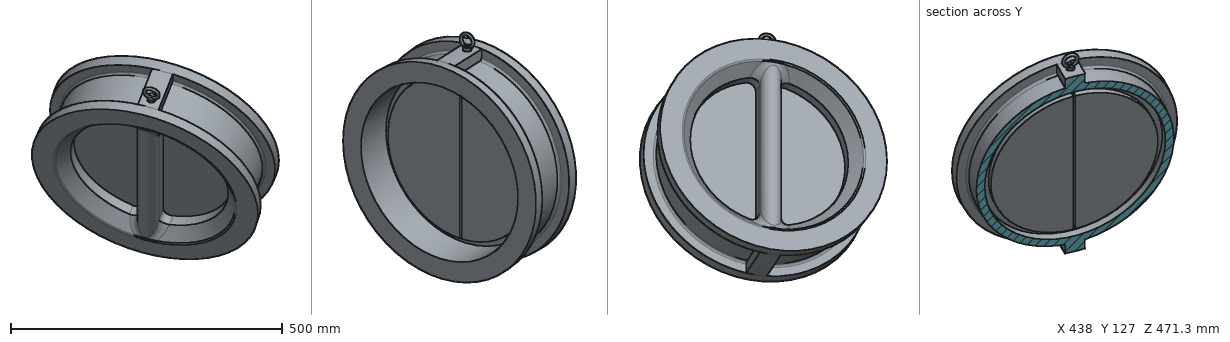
import cadquery as cq
import math


FACE_DIA = 438.0
LENGTH = 127.0
RIM_DRAFT = 3.0
BARREL_DIA = 391.0
FLANGE_RIM_WIDTH = 21.0
GROOVE_DRAFT = 3.0
GROOVE_FILLET = 5.0
BRIDGE_WIDTH = 40.0

INLET_DIA = 350.0
SEAT_DIA = 305.0
CONE_DEPTH = 27.0
INLET_FILLET = 5.0
PLATE_DEPTH = 48.0
OUTLET_DIA = 356.0

POST_WIDTH = 40.0
POST_SETBACK = 1.0
POST_FILLET = 15.0

PLATE_DIA = 330.0
PLATE_THICKNESS = 12.0
PLATE_GAP = 4.0

EYE_TUBE_DIA = 6.0
EYE_OUTER_DIA = 33.0
EYE_TOP = 471.3 - FACE_DIA / 2
EYE_Y = -24.0
COLLAR_DIA = 16.0
COLLAR_TOP = 224.5
COLLAR_SEAT = 217.0

FRONT = -LENGTH / 2
BACK = LENGTH / 2
FACE_R = FACE_DIA / 2
BARREL_R = BARREL_DIA / 2
SEAT_R = SEAT_DIA / 2
SEAT_Y = FRONT + CONE_DEPTH
PLATE_Y = FRONT + PLATE_DEPTH
POST_R = POST_WIDTH / 2
POST_SHOULDER = FRONT + POST_SETBACK + POST_R
INLET_R = INLET_DIA / 2
CONE_SLOPE = (INLET_R - SEAT_R) / CONE_DEPTH
CORE_R = 190.0
CORE_LEAD = 16.0
BRIDGE_R = FACE_R - FLANGE_RIM_WIDTH * math.tan(math.radians(RIM_DRAFT))


def about_flow_axis(profile):
    """Revolve a closed (radius, y) profile about the Y axis."""
    return profile.close().revolve(360, (0, 0, 0), (0, 1, 0))


def outer_blank():
    outline = (
        cq.Workplane("XY")
        .moveTo(0, FRONT)
        .lineTo(FACE_R, FRONT)
        .lineTo(BRIDGE_R, FRONT + FLANGE_RIM_WIDTH)
        .lineTo(BRIDGE_R, BACK - FLANGE_RIM_WIDTH)
        .lineTo(FACE_R, BACK)
        .lineTo(0, BACK)
    )
    return about_flow_axis(outline)


def groove():
    """Ring between the flanges, left whole at the top and bottom bridges."""
    rim_y = BACK - FLANGE_RIM_WIDTH
    outside_r = FACE_R + 1
    root_y = rim_y - (FACE_R - BARREL_R) * math.tan(math.radians(GROOVE_DRAFT))
    outside_y = rim_y + (outside_r - FACE_R) * math.tan(math.radians(GROOVE_DRAFT))
    outline = (
        cq.Workplane("XY")
        .moveTo(BARREL_R, -root_y)
        .lineTo(outside_r, -outside_y)
        .lineTo(outside_r, outside_y)
        .lineTo(BARREL_R, root_y)
    )
    ring = about_flow_axis(outline)
    root_edges = cq.selectors.BoxSelector(
        (-BARREL_R - 1, -LENGTH, -BARREL_R - 1), (BARREL_R + 1, LENGTH, BARREL_R + 1), boundingbox=True
    )
    ring = ring.edges("%CIRCLE").edges(root_edges).fillet(GROOVE_FILLET)
    bridges = cq.Workplane("XY").box(BRIDGE_WIDTH, LENGTH, 2 * FACE_DIA)
    return ring.cut(bridges)


def inlet_core():
    """Ring with the conical inlet, the seat bore and the blended post.

    The post is blended into the cone and into the seat bore separately. Both surfaces run past
    the edge where they meet, so the material common to the two rings has the cone in front of
    that edge and the seat behind it. The post nose is shaped by the cone ring alone.
    """
    cone_front_r = INLET_R + CONE_SLOPE * CORE_LEAD
    cone_back_r = SEAT_R - CONE_SLOPE * (PLATE_Y - SEAT_Y)
    in_cone = blended_post(cone_front_r, cone_back_r)
    in_seat = blended_post(SEAT_R, SEAT_R)
    nose_zone = cq.Workplane("XZ", origin=(0, FRONT, 0)).circle(CORE_R).extrude(FRONT - POST_SHOULDER)
    behind_nose = in_seat.cut(lead_trim())
    return in_cone.cut(lead_trim()).intersect(behind_nose.union(nose_zone)).cut(rim_round())


def lead_trim():
    """Everything of the core ring in front of the end face."""
    return cq.Workplane("XZ", origin=(0, FRONT, 0)).circle(CORE_R + 1).extrude(CORE_LEAD + 1)


def blended_post(front_r, back_r):
    """Post in a ring with a straight or tapered bore, its two ends filleted into the bore."""
    ring_front = FRONT - CORE_LEAD
    ring = about_flow_axis(
        cq.Workplane("XY")
        .moveTo(CORE_R, ring_front)
        .lineTo(front_r, ring_front)
        .lineTo(back_r, PLATE_Y)
        .lineTo(CORE_R, PLATE_Y)
    )
    body = ring.union(post())
    reach = POST_R + 1
    joints = body.edges(
        cq.selectors.BoxSelector((-reach, ring_front, -CORE_R), (reach, PLATE_Y - 1, CORE_R))
    ).filter(lambda edge: 0 < CORE_R - abs(edge.Center().z) < CORE_R / 2)
    return joints.fillet(POST_FILLET)


def rim_round():
    """Material outside the rounded edge between the front face and the inlet cone."""
    turn = math.atan2(1, CONE_SLOPE)
    tangent = INLET_FILLET * math.tan(turn / 2)
    face_r = INLET_R + tangent
    cone_r = INLET_R - tangent * math.cos(turn)
    cone_y = FRONT + tangent * math.sin(turn)
    middle_r = face_r - INLET_FILLET * math.sin(turn / 2)
    middle_y = FRONT + INLET_FILLET * (1 - math.cos(turn / 2))
    return about_flow_axis(
        cq.Workplane("XY")
        .moveTo(INLET_R, FRONT)
        .lineTo(face_r, FRONT)
        .threePointArc((middle_r, middle_y), (cone_r, cone_y))
    )


def post():
    """Upright across the inlet, round at the nose and flat at the plates."""
    nose = FRONT + POST_SETBACK
    return (
        cq.Workplane("XY")
        .moveTo(-POST_R, PLATE_Y)
        .lineTo(-POST_R, POST_SHOULDER)
        .threePointArc((0, nose), (POST_R, POST_SHOULDER))
        .lineTo(POST_R, PLATE_Y)
        .close()
        .extrude(CORE_R - 5, both=True)
    )


def bolt_collar():
    seat = cq.Workplane("XY", origin=(0, EYE_Y, COLLAR_SEAT))
    return seat.circle(COLLAR_DIA / 2).extrude(COLLAR_TOP - COLLAR_SEAT)


def make_housing():
    core_space = cq.Workplane("XZ", origin=(0, FRONT, 0)).circle(CORE_R).extrude(-PLATE_DEPTH)
    outlet = cq.Workplane("XZ", origin=(0, PLATE_Y, 0)).circle(OUTLET_DIA / 2).extrude(PLATE_DEPTH - LENGTH)
    shell = outer_blank().cut(groove()).cut(core_space).cut(outlet)
    return shell.union(inlet_core()).cut(bolt_collar())


def make_plate(side):
    """Half disc on the given side of the post (-1 or +1), resting on the seat."""
    disc = cq.Workplane("XZ", origin=(0, PLATE_Y, 0)).circle(PLATE_DIA / 2).extrude(-PLATE_THICKNESS)
    half = cq.Workplane("XY").box(PLATE_DIA, LENGTH, PLATE_DIA)
    return disc.intersect(half.translate((side * (PLATE_DIA + PLATE_GAP) / 2, 0, 0)))


def make_eye_bolt():
    ring_r = (EYE_OUTER_DIA - EYE_TUBE_DIA) / 2
    ring_z = EYE_TOP - EYE_OUTER_DIA / 2
    eye = (
        cq.Workplane("XY", origin=(0, EYE_Y, ring_z))
        .center(ring_r, 0)
        .circle(EYE_TUBE_DIA / 2)
        .revolve(360, (-ring_r, 0, 0), (-ring_r, 1, 0))
    )
    return eye.union(bolt_collar())


housing = make_housing()
plates = [make_plate(side) for side in (-1, 1)]
eye_bolt = make_eye_bolt()

result = cq.Compound.makeCompound([housing.val(), *[plate.val() for plate in plates], eye_bolt.val()])